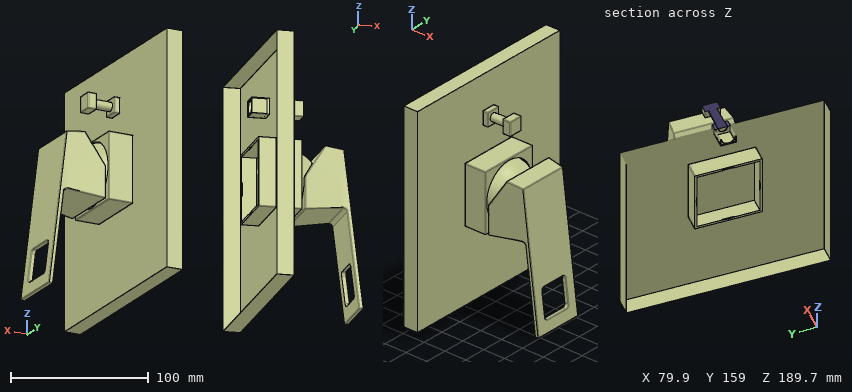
import cadquery as cq
import math

plate_width = 159.0
plate_height = 184.6
plate_depth = 13.3
plate_wall = 0.2
plate_bottom = 5.1
center_z = plate_bottom + plate_height / 2

boss_size = 52.5
boss_wall = 1.9
boss_front = 32.6
boss_pocket_depth = 11.4
boss_relief_depth = 0.5

cap_radius = 24.9
cap_center_x = 26.0
cap_back = plate_depth

knob_z = 153.0
knob_size = 12.3
knob_back = 31.9
knob_front = 39.0
stem_diameter = 7.0
stem_end_diameter = 6.5
stem_neck_length = 0.5
guide_front = 17.6
guide_mouth_diameter = 10.6
guide_mouth_depth = 0.4
guide_cavity_size = 11.0
guide_cavity_depth = 11.4

edge_round = 0.5

overall_depth = 79.9
tilt_angle = 7
tilt = math.tan(math.radians(tilt_angle))
hub_back = 35.0
hub_half_size = 25.8
hub_slope_bottom_z = 96.5
hub_slope_top_x = 50.7
arm_thickness = 3.6
arm_corner_radius = 2.8
lever_edge_round = 0.5
window_width = 26.0
window_bottom = 11.0
window_top = 37.0
window_corner_radius = 2.7
window_edge_round = 0.5

arm_unit = math.hypot(1, tilt)
arm_depth_x = arm_thickness / arm_unit
arm_tip_rise = arm_depth_x * tilt

tip_loss = lever_edge_round * ((1 + tilt) / arm_unit - 1)
tip_x = overall_depth + tip_loss
tip_z = -tip_loss


def arm_front_x(z):
    """X of the lever's front face at height z."""
    return tip_x - tilt * (z - tip_z - arm_tip_rise)


def arm_rear_x(z):
    """X of the arm's rear face at height z."""
    return tip_x - arm_depth_x - tilt * (z - tip_z)


def hub_half(x):
    """Half the width of the tapered hub at depth x."""
    return hub_half_size - tilt * (x - hub_back)


def block(x_start, x_end, width, height, z):
    """A box from x_start to x_end, centred on Y = 0 and on height z."""
    length = x_end - x_start
    return cq.Workplane("XY").box(length, width, height).translate(((x_start + x_end) / 2, 0, z))


def rod(x_start, x_end, diameter, z):
    """A cylinder along X, centred on Y = 0 and on height z."""
    return (
        cq.Workplane("YZ", origin=(x_start, 0, z))
        .circle(diameter / 2)
        .extrude(x_end - x_start)
    )


def rounded_block(x_start, x_end, size, z):
    """A square block with rounded long edges and a rounded front rim."""
    return block(x_start, x_end, size, size, z).edges("|X or >X").fillet(edge_round)


def make_ball_cap():
    """A round plug that ends in a hemispherical dome."""
    dome = cq.Workplane("XY").sphere(cap_radius).translate((cap_center_x, 0, center_z))
    shank = rod(cap_back, cap_center_x, 2 * cap_radius, center_z)
    front_half = block(cap_center_x, cap_center_x + cap_radius, 2 * cap_radius, 2 * cap_radius, center_z)
    return dome.intersect(front_half).union(shank)


def make_escutcheon():
    """The tray-shaped wall plate with its square boss and its knob guide."""
    body = block(0, plate_depth, plate_width, plate_height, center_z)
    inner_width = plate_width - 2 * plate_wall
    inner_height = plate_height - 2 * plate_wall
    body = body.cut(block(0, plate_depth - plate_wall, inner_width, inner_height, center_z))

    pocket_size = boss_size - 2 * boss_wall
    body = body.union(rounded_block(0, boss_front, boss_size, center_z))
    body = body.cut(block(0, boss_pocket_depth, pocket_size, pocket_size, center_z))
    body = body.cut(rod(0, boss_relief_depth, 2 * cap_radius, center_z))
    body = body.cut(rod(cap_back, boss_front, 2 * cap_radius, center_z))

    body = body.union(rounded_block(0, guide_front, knob_size, knob_z))
    cavity = block(guide_mouth_depth, guide_cavity_depth, guide_cavity_size, guide_cavity_size, knob_z)
    body = body.cut(cavity)
    body = body.cut(rod(0, guide_mouth_depth, guide_mouth_diameter, knob_z))
    return body.cut(rod(0, guide_front, stem_diameter, knob_z))


def make_knob():
    """The square knob head on its round stem, which narrows to a neck under the head."""
    end_chamfer = (stem_diameter - stem_end_diameter) / 2
    neck_start = knob_back - stem_neck_length
    stem = rod(guide_cavity_depth, neck_start, stem_diameter, knob_z).faces("<X").chamfer(end_chamfer)
    neck = rod(neck_start, knob_back, stem_end_diameter, knob_z)
    head = block(knob_back, knob_front, knob_size, knob_size, knob_z).edges().fillet(edge_round)
    return head.union(neck).union(stem)


def make_lever(ball_cap):
    """The lever: tapered hub, tilted arm with a window, and a pocket for the ball cap."""
    hub_bottom_z = center_z - hub_half_size
    hub_slope_top_z = center_z + hub_half(hub_slope_top_x)

    corner_x = (arm_rear_x(hub_bottom_z) + tilt**2 * hub_back) / (1 + tilt**2)
    corner_z = hub_bottom_z + tilt * (corner_x - hub_back)

    hub_top_z = center_z + hub_half_size
    top_x = (arm_front_x(hub_top_z) - tilt**2 * hub_back) / (1 - tilt**2)
    top_z = center_z + hub_half(top_x)

    side_outline = [
        (hub_back, hub_bottom_z),
        (hub_back, hub_slope_bottom_z),
        (hub_slope_top_x, hub_slope_top_z),
        (top_x, top_z),
        (tip_x, tip_z + arm_tip_rise),
        (arm_rear_x(tip_z), tip_z),
        (corner_x, corner_z),
    ]
    lever = cq.Workplane("XZ").polyline(side_outline).close().extrude(hub_half_size, both=True)
    corner_probe = cq.selectors.NearestToPointSelector((corner_x, 0, corner_z))
    lever = lever.edges("|Y").edges(corner_probe).fillet(arm_corner_radius)

    arm_half_width = hub_half(top_x)
    plan = (
        cq.Workplane("XY")
        .moveTo(hub_back, -hub_half_size)
        .spline(
            [(top_x, -arm_half_width), (tip_x, -arm_half_width)],
            tangents=[(1, tilt), (1, 0)],
            includeCurrent=True,
        )
        .lineTo(tip_x, 0)
        .lineTo(hub_back, 0)
        .close()
        .extrude(plate_height, both=True)
    )
    plan = plan.union(plan.mirror("XZ"))
    lever = lever.intersect(plan).clean().edges().fillet(lever_edge_round)

    window_z = (window_bottom + window_top) / 2
    window_length = (window_top - window_bottom) * arm_unit
    window_plane = cq.Plane(
        origin=(arm_front_x(window_z), 0, window_z),
        xDir=(0, 1, 0),
        normal=(1, 0, tilt),
    )
    window = (
        cq.Workplane(window_plane)
        .rect(window_width, window_length)
        .extrude(arm_thickness, both=True)
        .edges(cq.selectors.ParallelDirSelector(cq.Vector(1, 0, tilt)))
        .fillet(window_corner_radius)
    )
    lever = lever.cut(window)
    window_region = cq.selectors.BoxSelector(
        (0, -window_width / 2 - window_edge_round, window_bottom - window_edge_round),
        (overall_depth, window_width / 2 + window_edge_round, window_top + window_edge_round),
    )
    front_face = cq.selectors.DirectionMinMaxSelector(cq.Vector(1, 0, tilt))
    lever = lever.faces(front_face).edges(window_region).fillet(window_edge_round)
    return lever.cut(ball_cap)


ball_cap = make_ball_cap()
escutcheon = make_escutcheon()
knob = make_knob()
lever = make_lever(ball_cap)

result = cq.Compound.makeCompound([
    escutcheon.val(),
    ball_cap.val(),
    knob.val(),
    lever.val(),
])